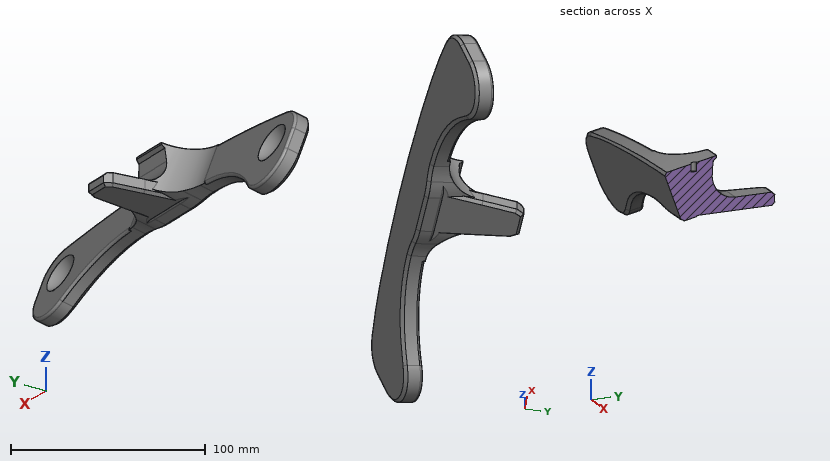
import cadquery as cq
import math

PLATE_TILT = 20.0
RIM_TILT = 11.0
PLATE_THICKNESS = 9.7
HALF_LENGTH = 115.2
TOP_RADIUS = 587.5
CORNER_RADIUS = 17.0
LOBE_RADIUS = 17.3
LOBE_BOTTOM = -56.0
ARCH_PEAK = (31.0, -26.5)
BELLY_END = (11.5, -29.0)
FRONT_CHAMFER = 1.5
BACK_FILLET = 1.4
REACH = 92.2

TONGUE_TIP_Y = 62.5
TONGUE_BOTTOM = -25.3
TONGUE_THICKNESS = 7.4
TONGUE_TOP = TONGUE_BOTTOM + TONGUE_THICKNESS
TONGUE_ROOT_Y = 13.8
TONGUE_ROOT_HALF = 15.0
TONGUE_MID_Y = 40.0
TONGUE_MID_HALF = 11.8
TONGUE_SHOULDER_Y = 58.3
TONGUE_SHOULDER_HALF = 9.5
TONGUE_TIP_HALF = 7.0
TONGUE_CHAMFER = 1.5
HOLLOW_MIDDLE = (31.0, -14.0)
HOLLOW_END = (27.5, -4.8)
LIP_START = (27.9, 2.8)
LIP_BOTTOM = 4.5

NECK_HALF = 11.3
NECK_REAR = 32.3
FLARE_MIDDLE = (18.5, 16.0)
FLARE_HALF = 34.5
LIP_Y = 29.7
NECK_TOP = 9.2
POCKET_DIAMETER = 22.1
POCKET_DEPTH = 5.8
POCKET_X = 96.8
POCKET_HEIGHT = -29.3
PIN_HOLE_DIAMETER = 2.8
PIN_HOLE_DEPTH = 4.5
PIN_HOLE_Y = 16.8


def leaning_plane(tilt):
    """Plane facing the front, with its upper edge leaning forward."""
    angle = math.radians(tilt)
    return cq.Plane((0, 0, 0), xDir=(1, 0, 0), normal=(0, -math.cos(angle), -math.sin(angle)))


def mirror_points(points):
    return [(-x, y) for x, y in reversed(points)]


plate_plane = leaning_plane(PLATE_TILT)
section_plane = cq.Plane((0, 0, 0), xDir=(1, 0, 0), normal=plate_plane.yDir.toTuple())


def point_on_circle(centre, radius, toward):
    """Point where the ray from centre to another point meets the circle."""
    dx = toward[0] - centre[0]
    dy = toward[1] - centre[1]
    length = math.hypot(dx, dy)
    return (centre[0] + radius * dx / length, centre[1] + radius * dy / length)


def make_rim():
    """Arched outline of tangent arcs with two lobes, extruded along the rim direction."""
    top_centre = (0, -TOP_RADIUS)
    corner_x = HALF_LENGTH - CORNER_RADIUS
    corner_y = math.sqrt((TOP_RADIUS - CORNER_RADIUS) ** 2 - corner_x**2) - TOP_RADIUS
    shoulder = point_on_circle(top_centre, TOP_RADIUS, (corner_x, corner_y))

    lobe_centre = (HALF_LENGTH - LOBE_RADIUS, LOBE_BOTTOM + LOBE_RADIUS)
    across = lobe_centre[0] - ARCH_PEAK[0]
    drop = ARCH_PEAK[1] - lobe_centre[1]
    arch_radius = (across**2 + drop**2 - LOBE_RADIUS**2) / (2 * (LOBE_RADIUS + drop))
    arch_centre = (ARCH_PEAK[0], ARCH_PEAK[1] - arch_radius)
    lobe_inner = point_on_circle(lobe_centre, LOBE_RADIUS, arch_centre)
    blend_middle = ((ARCH_PEAK[0] + BELLY_END[0]) / 2, (ARCH_PEAK[1] + BELLY_END[1]) / 2)

    sketch_plane = cq.Workplane(leaning_plane(RIM_TILT)).workplane(offset=-REACH)
    outline = sketch_plane.moveTo(0, BELLY_END[1]).lineTo(*BELLY_END)
    for end in [blend_middle, ARCH_PEAK, lobe_inner, (HALF_LENGTH, lobe_centre[1])]:
        outline = outline.tangentArcPoint(end, relative=False)
    outline = outline.lineTo(HALF_LENGTH, corner_y)
    for end in [shoulder, (0, 0)]:
        outline = outline.tangentArcPoint(end, relative=False)
    return outline.mirrorY().extrude(2 * REACH)


def make_plate(rim):
    slab = cq.Workplane(plate_plane).rect(2 * HALF_LENGTH + REACH, 2 * REACH).extrude(-PLATE_THICKNESS)
    plate = rim.intersect(slab)
    front = cq.selectors.DirectionMinMaxSelector(plate_plane.zDir, True)
    back = cq.selectors.DirectionMinMaxSelector(plate_plane.zDir, False)
    return plate.faces(front).edges().chamfer(FRONT_CHAMFER).faces(back).edges().fillet(BACK_FILLET)


def make_neck(rim):
    """Flared gusset behind the plate with a hollowed rear face."""
    embed = PLATE_THICKNESS / 2
    flare = cq.Workplane(section_plane).moveTo(-FLARE_HALF, embed)
    flare = flare.lineTo(FLARE_HALF, embed).lineTo(FLARE_HALF, PLATE_THICKNESS)
    flare = flare.threePointArc(FLARE_MIDDLE, (NECK_HALF, NECK_REAR)).lineTo(-NECK_HALF, NECK_REAR)
    flare = flare.threePointArc((-FLARE_MIDDLE[0], FLARE_MIDDLE[1]), (-FLARE_HALF, PLATE_THICKNESS))
    flare = flare.close().extrude(REACH, both=True)

    profile = cq.Workplane("YZ").moveTo(0, TONGUE_BOTTOM).lineTo(TONGUE_MID_Y, TONGUE_BOTTOM)
    profile = profile.lineTo(TONGUE_MID_Y, TONGUE_TOP)
    profile = profile.threePointArc(HOLLOW_MIDDLE, HOLLOW_END)
    profile = profile.lineTo(*LIP_START).lineTo(LIP_Y, LIP_BOTTOM)
    profile = profile.lineTo(LIP_Y, NECK_TOP).lineTo(0, NECK_TOP)
    profile = profile.close().extrude(REACH, both=True)
    return flare.intersect(profile).intersect(rim)


def make_tongue():
    right_side = [
        (TONGUE_ROOT_HALF, TONGUE_ROOT_Y),
        (TONGUE_MID_HALF, TONGUE_MID_Y),
        (TONGUE_SHOULDER_HALF, TONGUE_SHOULDER_Y),
        (TONGUE_TIP_HALF, TONGUE_TIP_Y),
    ]
    outline = cq.Workplane("XY", origin=(0, 0, TONGUE_BOTTOM))
    outline = outline.polyline(right_side + mirror_points(right_side)).close()
    tongue = outline.extrude(TONGUE_THICKNESS)
    tongue = tongue.faces("<Z").edges("not <Y").chamfer(TONGUE_CHAMFER)
    tongue = tongue.faces(">Y").edges(">Z").chamfer(TONGUE_CHAMFER)

    root = cq.Workplane("YZ").moveTo(TONGUE_MID_Y, TONGUE_TOP)
    root = root.threePointArc(HOLLOW_MIDDLE, HOLLOW_END).lineTo(TONGUE_ROOT_Y, TONGUE_TOP).close()
    root = root.extrude(TONGUE_MID_HALF, both=True)
    return tongue.union(root)


def make_pockets():
    """Balls that leave a shallow spherical dish in the back of each lobe."""
    ball_radius = (POCKET_DIAMETER**2 / 4 + POCKET_DEPTH**2) / (2 * POCKET_DEPTH)
    ball_offset = POCKET_DEPTH - PLATE_THICKNESS - ball_radius
    centres = [(-POCKET_X, POCKET_HEIGHT), (POCKET_X, POCKET_HEIGHT)]
    return cq.Workplane(plate_plane).workplane(offset=ball_offset).pushPoints(centres).sphere(ball_radius)


def make_pin_hole():
    surface_z = PIN_HOLE_Y * math.tan(math.radians(RIM_TILT))
    hole = cq.Workplane("XY", origin=(0, PIN_HOLE_Y, surface_z - PIN_HOLE_DEPTH))
    return hole.circle(PIN_HOLE_DIAMETER / 2).extrude(2 * PIN_HOLE_DEPTH)


rim = make_rim()
body = make_plate(rim).union(make_neck(rim)).union(make_tongue())
result = body.cut(make_pockets()).cut(make_pin_hole())